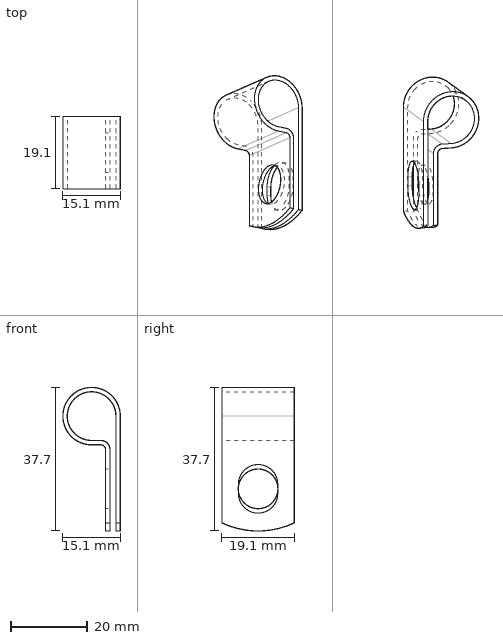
import cadquery as cq
import math

height = 37.72
width = 19.05
loop_diameter = 15.13
thickness = 1.2
leg_gap = 1.5
bend_inner_radius = 1.17
hole_diameter = 10.35
hole_height = 11.1
slot_straight = 2.4
end_arc_rise = 2.15

loop_radius = loop_diameter / 2
bore_radius = loop_radius - thickness
loop_z = height - loop_radius
loop_bottom = loop_z - loop_radius
bore_bottom = loop_z - bore_radius

short_leg_right = bore_radius - leg_gap
short_leg_left = short_leg_right - thickness
bend_outer_radius = bend_inner_radius + thickness
bend_x = short_leg_left - bend_inner_radius
bend_z = loop_bottom - bend_inner_radius


def bend_midpoint(radius):
    offset = radius * math.sqrt(0.5)
    return (bend_x + offset, bend_z + offset)


def make_strip():
    """Bent strip: long leg, three-quarter loop, bend and short leg."""
    diagonal = math.sqrt(0.5)
    outer_mid = (-loop_radius * diagonal, loop_z + loop_radius * diagonal)
    bore_mid = (-bore_radius * diagonal, loop_z + bore_radius * diagonal)
    return (
        cq.Workplane("XZ")
        .moveTo(loop_radius, 0)
        .lineTo(loop_radius, loop_z)
        .threePointArc(outer_mid, (0, loop_bottom))
        .lineTo(bend_x, loop_bottom)
        .threePointArc(bend_midpoint(bend_inner_radius), (short_leg_left, bend_z))
        .lineTo(short_leg_left, 0)
        .lineTo(short_leg_right, 0)
        .lineTo(short_leg_right, bend_z)
        .threePointArc(bend_midpoint(bend_outer_radius), (bend_x, bore_bottom))
        .lineTo(0, bore_bottom)
        .threePointArc(bore_mid, (bore_radius, loop_z))
        .lineTo(bore_radius, 0)
        .close()
        .extrude(width / 2, both=True)
    )


def make_end_envelope():
    """Block with an arched lower edge that rounds both leg ends."""
    return (
        cq.Workplane("YZ")
        .moveTo(-width / 2, height)
        .lineTo(-width / 2, end_arc_rise)
        .threePointArc((0, 0), (width / 2, end_arc_rise))
        .lineTo(width / 2, height)
        .close()
        .extrude(loop_diameter, both=True)
    )


def make_bolt_hole():
    """Round hole along X through the short leg, ending in the gap."""
    return (
        cq.Workplane("YZ")
        .center(0, hole_height)
        .circle(hole_diameter / 2)
        .extrude(short_leg_right + leg_gap / 2)
    )


def make_bolt_slot():
    """Upright slot along X through the long leg, starting in the gap."""
    return (
        cq.Workplane("YZ", origin=(short_leg_right + leg_gap / 2, 0, 0))
        .center(0, hole_height)
        .slot2D(hole_diameter + slot_straight, hole_diameter, angle=90)
        .extrude(loop_diameter)
    )


strip = make_strip().intersect(make_end_envelope())
result = strip.cut(make_bolt_hole()).cut(make_bolt_slot())